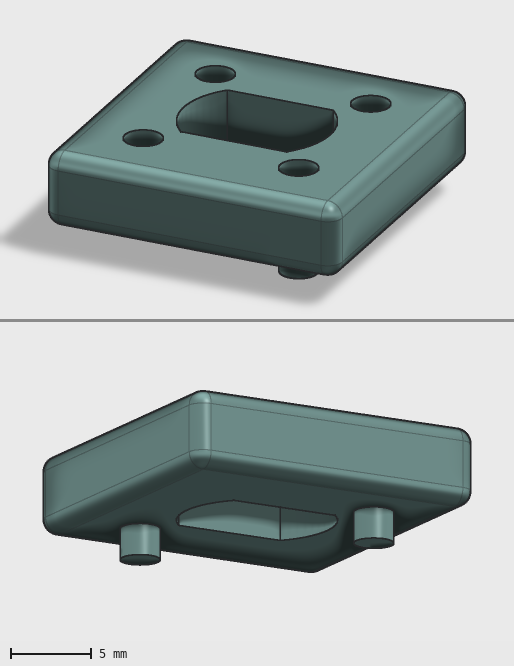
import cadquery as cq

plate_side = 20.0
plate_thickness = 5.0
edge_radius = 1.0

opening_diameter = 10.0
opening_height = 6.9

peg_diameter = 2.5
peg_length = 2.0
peg_spacing = 10.65
socket_depth = peg_length


def rounded_plate():
    """Square plate resting on Z = 0 with every edge rounded."""
    block = cq.Workplane("XY").box(
        plate_side, plate_side, plate_thickness, centered=(True, True, False)
    )
    return block.edges().fillet(edge_radius)


def central_opening():
    """Cutter for the through opening with two round ends."""
    cylinder = cq.Workplane("XY").circle(opening_diameter / 2).extrude(plate_thickness)
    flats = cq.Workplane("XY").rect(opening_diameter, opening_height).extrude(plate_thickness)
    return cylinder.intersect(flats)


def peg_cylinders(centers, start_height, length):
    """Peg-sized cylinders at the given centers, rising from start_height."""
    return (
        cq.Workplane("XY", origin=(0, 0, start_height))
        .pushPoints(centers)
        .circle(peg_diameter / 2)
        .extrude(length)
    )


offset = peg_spacing / 2
peg_centers = [(-offset, offset), (offset, -offset)]
socket_centers = peg_centers + [(-offset, -offset), (offset, offset)]

pegs = peg_cylinders(peg_centers, -peg_length, peg_length)
sockets = peg_cylinders(socket_centers, plate_thickness - socket_depth, socket_depth)

result = rounded_plate().cut(central_opening()).cut(sockets).union(pegs)